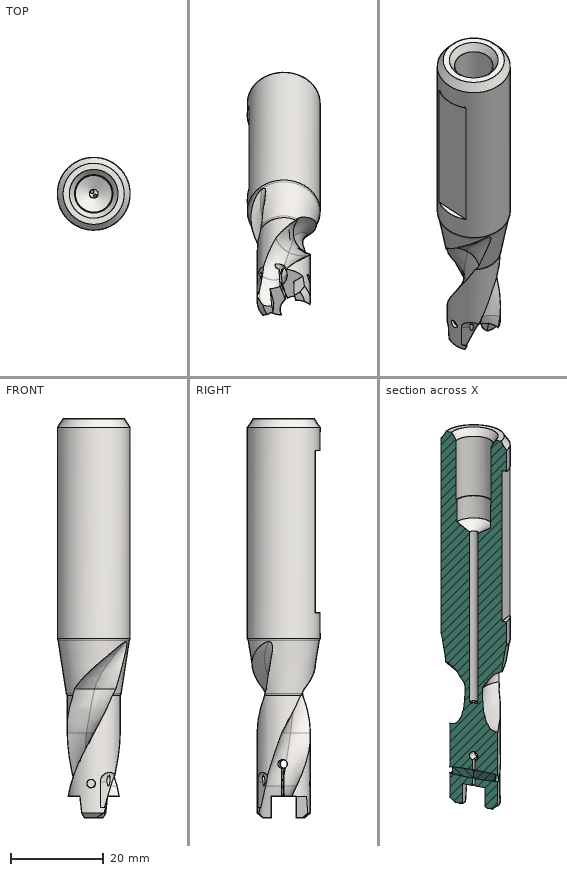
import cadquery as cq
import math


length = 86.7
oversize = 17.3

shank_diameter = 15.9
shank_radius = shank_diameter / 2
shank_bottom = 39.0
top_chamfer_height = 1.9
top_chamfer_width = 1.3
flat_depth = 1.0
flat_bottom = 44.5
flat_top = 79.7

step_height = 0.4
step_width = 0.2
drill_radius = 5.8
neck_bottom = 27.0
neck_bottom_radius = drill_radius + step_width
neck_top_radius = shank_radius - step_width
tip_chamfer_height = 1.0
tip_chamfer_width = 1.3

mouth_radius = 5.3
mouth_depth = 1.7
thread_radius = 4.2
thread_depth = 15.6
core_radius = 4.0
core_depth = 20.8
core_cone_half_angle = 59.0
coolant_radius = 0.95
coolant_bottom = 24.3
branch_radius = 0.39
branch_start_radius = 0.35
branch_start_z = coolant_bottom + 0.9
branch_exit_z = 8.3
branch_overrun = 1.7

web_radius = 2.2
edge_angle_at_tip = -8.4
edge_twist = 5.366
flute_width_at_tip = 62.0
flute_widening = 1.789
full_flute_width = 95.0
web_thinning = 0.2
web_thinning_top = 6.9
full_width_z = (full_flute_width - flute_width_at_tip) / flute_widening
runout_start = 28.0
runout_twist = 5.885
runout_slope = 0.54
flute_start = -1.7
sections_per_segment = 6

seat_width = 5.4
seat_depth = 4.7
prong_face_x = -3.0
prong_face_y = -4.9
prong_face_angle = 21.0
prong_face_tilt = 7.5

clamp_angle = -6.0
slit_width = 0.5
relief_hole_z = 11.7
relief_hole_radius = 0.95
pin_z = 7.45
pin_diameter = 1.8
pin_recess = 0.7

recess_angle = -53.5
recess_distance = 5.4
recess_width = 8.7
recess_bottom = 2.25
recess_top = 7.8
recess_runout_radius = 5.2


def turn(shape, angle):
    return shape.rotate((0, 0, 0), (0, 0, 1), angle)


def both_sides(shape):
    return [shape, turn(shape, 180)]


def revolve_profile(points):
    """Round solid about Z from (radius, height) points."""
    return cq.Workplane("XZ").polyline(points).close().revolve(360, (0, 0), (0, 1))


def round_body():
    return revolve_profile([
        (0, 0),
        (drill_radius - tip_chamfer_width, 0),
        (drill_radius, tip_chamfer_height),
        (drill_radius, neck_bottom - step_height),
        (neck_bottom_radius, neck_bottom),
        (neck_top_radius, shank_bottom - step_height),
        (shank_radius, shank_bottom),
        (shank_radius, length - top_chamfer_height),
        (shank_radius - top_chamfer_width, length),
        (0, length),
    ])


def shank_flat():
    return (
        cq.Workplane("XY")
        .box(2 * oversize, oversize, flat_top - flat_bottom, centered=(True, False, False))
        .translate((0, shank_radius - flat_depth, flat_bottom))
    )


def shank_bore():
    cone_height = (core_radius - coolant_radius) / math.tan(math.radians(core_cone_half_angle))
    core_bottom = length - core_depth
    return revolve_profile([
        (0, length),
        (mouth_radius, length),
        (thread_radius, length - mouth_depth),
        (thread_radius, length - thread_depth),
        (core_radius, length - thread_depth),
        (core_radius, core_bottom),
        (coolant_radius, core_bottom - cone_height),
        (coolant_radius, coolant_bottom),
        (0, coolant_bottom),
    ])


def coolant_branch():
    """Slanted hole from the coolant hole down to the recess on a land."""
    start = cq.Vector(branch_start_radius, 0, branch_start_z)
    path = cq.Vector(recess_distance, 0, branch_exit_z) - start
    hole = cq.Solid.makeCylinder(branch_radius, path.Length + branch_overrun, start, path)
    return turn(cq.Workplane(hole), recess_angle)


def flute_section(z):
    """U-shaped section of the -X flute at height z, open to the outside."""
    width = min(full_flute_width, flute_width_at_tip + flute_widening * z)
    web = web_radius - web_thinning * max(0, web_thinning_top - z)
    edge_depth = drill_radius * math.cos(math.radians(width / 2))
    distance = (drill_radius**2 - web**2) / (2 * (edge_depth - web))
    radius = distance - web
    diagonal = radius * math.sqrt(0.5)

    helix_z = min(z, runout_start)
    runout = z - helix_z
    distance += runout_slope * runout
    angle = edge_angle_at_tip + edge_twist * helix_z - width / 2 + runout_twist * runout

    direction = math.radians(180 + angle)
    outward = cq.Vector(math.cos(direction), math.sin(direction), 0)
    section = cq.Plane(outward * distance + cq.Vector(0, 0, z), outward, (0, 0, 1))
    trough = (
        cq.Workplane(section)
        .moveTo(0, -radius)
        .threePointArc((-diagonal, -diagonal), (-radius, 0))
        .threePointArc((-diagonal, diagonal), (0, radius))
        .lineTo(oversize, radius)
        .lineTo(oversize, -radius)
        .close()
    )
    return trough.val()


def flute_segment(bottom, top):
    rise = (top - bottom) / (sections_per_segment - 1)
    sections = [flute_section(bottom + rise * i) for i in range(sections_per_segment)]
    return cq.Workplane(cq.Solid.makeLoft(sections))


def flute_segments():
    ends = [flute_start, web_thinning_top, full_width_z, runout_start, shank_bottom]
    return [flute_segment(bottom, top) for bottom, top in zip(ends, ends[1:])]


def tip_seat():
    return cq.Workplane("XY").box(2 * oversize, seat_width, seat_depth, centered=(True, True, False))


def prong_side():
    """Space on the -X side of the -Y prong, bounded by the prong's slanted side face."""
    angle = math.radians(prong_face_angle)
    tilt = math.radians(prong_face_tilt)
    normal = (-math.cos(angle) * math.cos(tilt), math.sin(angle) * math.cos(tilt), -math.sin(tilt))
    inward = (math.sin(angle), math.cos(angle), 0)
    inward_reach = -prong_face_y / math.cos(angle)
    face = cq.Plane((prong_face_x, prong_face_y, seat_depth), inward, normal)
    space = (
        cq.Workplane(face)
        .moveTo(-oversize, -oversize)
        .lineTo(inward_reach, -oversize)
        .lineTo(inward_reach, oversize)
        .lineTo(-oversize, oversize)
        .close()
        .extrude(shank_radius)
    )
    seat_layer = cq.Workplane("XY").box(
        4 * oversize, 4 * oversize, seat_depth, centered=(True, True, False)
    )
    return space.intersect(seat_layer)


def clamping_slit():
    slit = cq.Workplane("XY").box(2 * oversize, slit_width, relief_hole_z, centered=(True, True, False))
    relief_hole = cq.Workplane("YZ").center(0, relief_hole_z).circle(relief_hole_radius)
    return turn(slit.union(relief_hole.extrude(oversize, both=True)), clamp_angle)


def pin_cylinder(reach):
    """Cylinder across the slit, from the axis towards -Y."""
    return turn(cq.Workplane("XZ").center(0, pin_z).circle(pin_diameter / 2).extrude(reach), clamp_angle)


def land_recess():
    outer = recess_distance + recess_runout_radius
    diagonal = recess_runout_radius * math.sqrt(0.5)
    profile = (
        cq.Workplane("XZ")
        .moveTo(recess_distance, recess_bottom)
        .lineTo(recess_distance, recess_top)
        .threePointArc((outer - diagonal, recess_top + diagonal), (outer, recess_top + recess_runout_radius))
        .lineTo(outer, recess_bottom)
        .close()
    )
    return turn(profile.extrude(recess_width / 2, both=True), recess_angle)


def make_holder():
    body = round_body()
    for feature in (shank_flat(), shank_bore()):
        body = body.cut(feature)
    for segment in flute_segments():
        for flute in both_sides(segment):
            body = body.cut(flute)
    for feature in (tip_seat(), clamping_slit()):
        body = body.cut(feature)
    for feature in (prong_side(), land_recess(), coolant_branch(), pin_cylinder(oversize)):
        for cutter in both_sides(feature):
            body = body.cut(cutter)
    return body


def make_pin():
    return pin_cylinder(drill_radius - pin_recess)


holder = make_holder()
pins = both_sides(make_pin())

result = cq.Compound.makeCompound([holder.val(), *[pin.val() for pin in pins]])